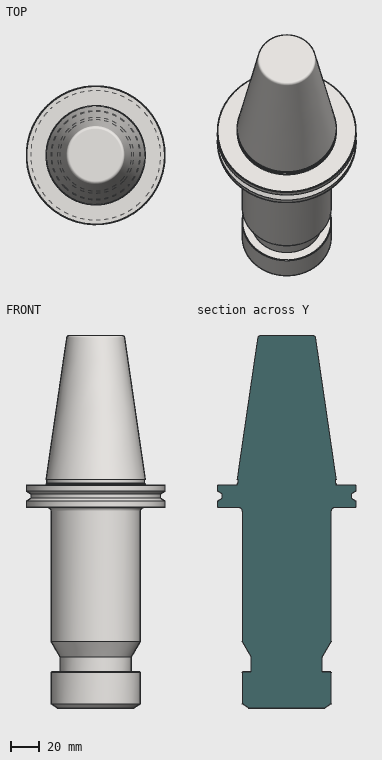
import cadquery as cq

total_height = 261.5

taper_ratio = 7 / 24
gauge_radius = 69.8 / 2
taper_length = 101.2
small_end_radius = gauge_radius - taper_length * taper_ratio / 2
small_end_round = 2.0
collar_height = 3.7
relief_depth = 0.5
relief_width = 2.4

flange_radius = 97.5 / 2
flange_thickness = 16.0
flange_edge_chamfer = 0.5
groove_floor_radius = 91.0 / 2
groove_floor_width = 3.0
groove_mouth_width = 7.0
groove_offset = 7.8

body_radius = 31.5
body_root_fillet = 2.5
neck_radius = 25.0
neck_top_z = 36.0
body_bottom_z = 46.8
nut_height = 25.6
nut_top_chamfer = 0.5
nut_bottom_radius = 26.7
nut_bottom_chamfer_height = 3.1

gauge_z = total_height - taper_length
flange_top_z = gauge_z - collar_height
flange_bottom_z = flange_top_z - flange_thickness
groove_z = flange_top_z - groove_offset
relief_bottom_z = gauge_z - relief_width


def make_taper():
    """Tapered shank and the short, relieved collar that joins it to the flange."""
    return (
        cq.Workplane("XZ")
        .moveTo(0, flange_top_z)
        .lineTo(gauge_radius, flange_top_z)
        .lineTo(gauge_radius, relief_bottom_z - relief_depth)
        .lineTo(gauge_radius - relief_depth, relief_bottom_z)
        .lineTo(gauge_radius - relief_depth, gauge_z)
        .lineTo(gauge_radius, gauge_z)
        .lineTo(small_end_radius, total_height)
        .lineTo(0, total_height)
        .close()
        .revolve(360, (0, 0, 0), (0, 1, 0))
        .faces(">Z")
        .edges()
        .fillet(small_end_round)
    )


def make_flange():
    """Round flange with chamfered rims and a V-groove."""
    blank = (
        cq.Workplane("XY", origin=(0, 0, flange_bottom_z))
        .circle(flange_radius)
        .extrude(flange_thickness)
        .faces("<Z or >Z")
        .edges()
        .chamfer(flange_edge_chamfer)
    )
    groove = (
        cq.Workplane("XZ")
        .moveTo(groove_floor_radius, groove_z - groove_floor_width / 2)
        .lineTo(flange_radius, groove_z - groove_mouth_width / 2)
        .lineTo(flange_radius, groove_z + groove_mouth_width / 2)
        .lineTo(groove_floor_radius, groove_z + groove_floor_width / 2)
        .close()
        .revolve(360, (0, 0, 0), (0, 1, 0))
    )
    return blank.cut(groove)


def make_body():
    """Cylindrical body, filleted into the flange and coned down to the neck."""
    return (
        cq.Workplane("XZ")
        .moveTo(0, nut_height)
        .lineTo(neck_radius, nut_height)
        .lineTo(neck_radius, neck_top_z)
        .lineTo(body_radius, body_bottom_z)
        .lineTo(body_radius, flange_bottom_z - body_root_fillet)
        .radiusArc((body_radius + body_root_fillet, flange_bottom_z), body_root_fillet)
        .lineTo(0, flange_bottom_z)
        .close()
        .revolve(360, (0, 0, 0), (0, 1, 0))
    )


def make_nut():
    """Clamping nut, chamfered at both ends."""
    return (
        cq.Workplane("XZ")
        .lineTo(nut_bottom_radius, 0)
        .lineTo(body_radius, nut_bottom_chamfer_height)
        .lineTo(body_radius, nut_height - nut_top_chamfer)
        .lineTo(body_radius - nut_top_chamfer, nut_height)
        .lineTo(0, nut_height)
        .close()
        .revolve(360, (0, 0, 0), (0, 1, 0))
    )


result = make_taper().union(make_flange()).union(make_body()).union(make_nut())